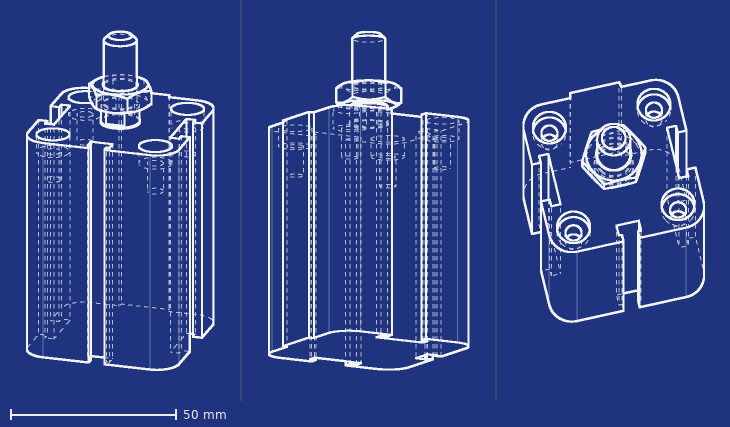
import cadquery as cq
import math


total_height = 97.5
rod_projection = 27.9
housing_height = total_height - rod_projection

housing_width = 48.0
corner_radius = 7.0
half_width = housing_width / 2

ridge_height = 1.6
ridge_base_width = 15.9
ridge_top_width = 15.2

side_mouth_width = 12.0
side_mouth_depth = 2.7
side_channel_width = 16.4
side_slot_depth = 5.6
front_mouth_width = 5.0
front_mouth_depth = 2.1
front_channel_width = 6.9
front_slot_depth = 5.4

hole_spacing = 32.5
counterbore_diameter = 10.0
counterbore_depth = 5.6
screw_hole_diameter = 4.9
screw_hole_depth = 14.6

collar_diameter = 12.0
collar_height = 0.3
neck_diameter = 11.7
neck_top = housing_height + 5.4
neck_cone_height = 0.8
flats_width = 10.0
flats_start = housing_height + 0.8
thread_diameter = 10.0
tip_chamfer = 1.5

nut_bottom = housing_height + 5.9
nut_height = 6.0
nut_across_flats = 17.1
nut_chamfer_angle = 30.0
nut_face_diameter = 16.8
nut_bore_chamfer = 0.3


def t_slot(mouth_width, mouth_depth, channel_width, slot_depth):
    """T-slot cutter for the -Y face, running the full housing height."""
    mouth = cq.Workplane("XY").box(
        mouth_width, mouth_depth, housing_height, centered=(True, False, False)
    )
    channel = cq.Workplane("XY").box(
        channel_width, slot_depth - mouth_depth, housing_height, centered=(True, False, False)
    )
    return mouth.union(channel.translate((0, mouth_depth, 0))).translate((0, -half_width, 0))


def make_ridge():
    return (
        cq.Workplane("XY")
        .polyline([
            (-ridge_base_width / 2, half_width),
            (ridge_base_width / 2, half_width),
            (ridge_top_width / 2, half_width + ridge_height),
            (-ridge_top_width / 2, half_width + ridge_height),
        ])
        .close()
        .extrude(housing_height)
    )


def make_housing():
    block = (
        cq.Workplane("XY")
        .rect(housing_width, housing_width)
        .extrude(housing_height)
        .edges("|Z")
        .fillet(corner_radius)
    )
    body = block.union(make_ridge())

    body = body.cut(t_slot(front_mouth_width, front_mouth_depth, front_channel_width, front_slot_depth))
    side_slot = t_slot(side_mouth_width, side_mouth_depth, side_channel_width, side_slot_depth)
    for angle in (90, -90):
        body = body.cut(side_slot.rotate((0, 0, 0), (0, 0, 1), angle))

    return body.cut(make_mounting_holes())


def make_mounting_holes():
    """Counterbored blind holes at the four corners of the top face."""
    corners = cq.Workplane("XY", origin=(0, 0, housing_height)).rect(
        hole_spacing, hole_spacing, forConstruction=True
    ).vertices()
    counterbores = corners.circle(counterbore_diameter / 2).extrude(-counterbore_depth)
    screw_holes = corners.circle(screw_hole_diameter / 2).extrude(-screw_hole_depth)
    return counterbores.union(screw_holes)


def make_rod():
    """Turned rod standing on the housing: collar, necked part with wrench flats, chamfered thread."""
    collar_radius = collar_diameter / 2
    neck_radius = neck_diameter / 2
    thread_radius = thread_diameter / 2
    turned = (
        cq.Workplane("XZ")
        .polyline([
            (0, housing_height),
            (collar_radius, housing_height),
            (collar_radius, housing_height + collar_height),
            (neck_radius, housing_height + collar_height),
            (neck_radius, neck_top),
            (thread_radius, neck_top + neck_cone_height),
            (thread_radius, total_height - tip_chamfer),
            (thread_radius - tip_chamfer, total_height),
            (0, total_height),
        ])
        .close()
        .revolve(360, (0, 0, 0), (0, 1, 0))
    )
    return turned.cut(make_flats_cutter())


def make_flats_cutter():
    """Two blocks, on the -Y and +Y sides of the neck, whose removal leaves the wrench flats."""
    height = neck_top + neck_cone_height - flats_start
    flat_depth = (collar_diameter - flats_width) / 2
    offset = (flats_width + flat_depth) / 2
    return (
        cq.Workplane("XY", origin=(0, 0, flats_start))
        .pushPoints([(0, -offset), (0, offset)])
        .rect(collar_diameter, flat_depth)
        .extrude(height)
    )


def make_nut():
    """Hexagon nut with corners on the X axis, conical corner chamfers and a countersunk bore."""
    across_corners = nut_across_flats / math.cos(math.pi / 6)
    hex_radius = across_corners / 2
    face_radius = nut_face_diameter / 2
    chamfer_height = (hex_radius - face_radius) * math.tan(math.radians(nut_chamfer_angle))
    hexagon = cq.Workplane("XY").polygon(6, across_corners).extrude(nut_height)
    chamfer_envelope = (
        cq.Workplane("XZ")
        .polyline([
            (0, 0),
            (face_radius, 0),
            (hex_radius, chamfer_height),
            (hex_radius, nut_height - chamfer_height),
            (face_radius, nut_height),
            (0, nut_height),
        ])
        .close()
        .revolve(360, (0, 0, 0), (0, 1, 0))
    )
    bore = cq.Workplane("XY").circle(thread_diameter / 2).extrude(nut_height)
    nut = hexagon.intersect(chamfer_envelope).cut(bore)
    nut = nut.edges(cq.selectors.RadiusNthSelector(0)).chamfer(nut_bore_chamfer)
    return nut.translate((0, 0, nut_bottom))


housing = make_housing().solids()
piston_rod = make_rod().solids()
lock_nut = make_nut().solids()

result = cq.Compound.makeCompound([housing.val(), piston_rod.val(), lock_nut.val()])